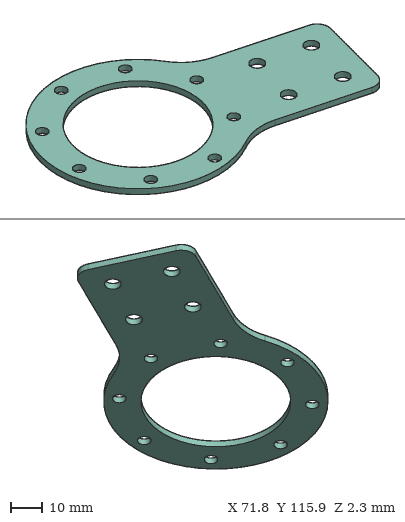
import cadquery as cq
import math

total_length = 115.9
thickness = 2.3
ring_diameter = 71.8
bore_diameter = 48.0
tab_width = 40.0
tab_corner_radius = 5.0
neck_radius = 20.0

ring_hole_count = 8
ring_hole_diameter = 4.3
ring_hole_circle_radius = 30.9

tab_hole_diameter = 5.3
tab_hole_spacing = 20.0
tab_hole_end_distance = 10.0

ring_radius = ring_diameter / 2
half_width = tab_width / 2
tab_end = total_length - ring_radius

neck_center_x = half_width + neck_radius
neck_center_distance = ring_radius + neck_radius
neck_center_y = math.sqrt(neck_center_distance**2 - neck_center_x**2)
ring_share = ring_radius / neck_center_distance
ring_tangent_x = neck_center_x * ring_share
ring_tangent_y = neck_center_y * ring_share

neck_mid_angle = (math.pi + math.atan2(neck_center_y, neck_center_x) + math.pi) / 2
neck_mid_x = neck_center_x + neck_radius * math.cos(neck_mid_angle)
neck_mid_y = neck_center_y + neck_radius * math.sin(neck_mid_angle)


def make_plate():
    """Ring and tab outline joined by concave necks, with rounded tab corners."""
    plate = (
        cq.Workplane("XY")
        .moveTo(-half_width, tab_end)
        .lineTo(half_width, tab_end)
        .lineTo(half_width, neck_center_y)
        .threePointArc((neck_mid_x, neck_mid_y), (ring_tangent_x, ring_tangent_y))
        .threePointArc((0, -ring_radius), (-ring_tangent_x, ring_tangent_y))
        .threePointArc((-neck_mid_x, neck_mid_y), (-half_width, neck_center_y))
        .close()
        .extrude(thickness)
    )
    return plate.faces(">Y").edges("|Z").fillet(tab_corner_radius)


def make_bore():
    return cq.Workplane("XY").circle(bore_diameter / 2).extrude(thickness)


def make_ring_holes():
    """Evenly spaced holes, half a step away from the X and Y axes."""
    step = 360 / ring_hole_count
    return (
        cq.Workplane("XY")
        .polarArray(ring_hole_circle_radius, step / 2, 360, ring_hole_count)
        .circle(ring_hole_diameter / 2)
        .extrude(thickness)
    )


def make_tab_holes():
    """Square pattern of four holes near the end of the tab."""
    pattern_center_y = tab_end - tab_hole_end_distance - tab_hole_spacing / 2
    return (
        cq.Workplane("XY")
        .center(0, pattern_center_y)
        .rect(tab_hole_spacing, tab_hole_spacing, forConstruction=True)
        .vertices()
        .circle(tab_hole_diameter / 2)
        .extrude(thickness)
    )


result = make_plate().cut(make_bore()).cut(make_ring_holes()).cut(make_tab_holes())